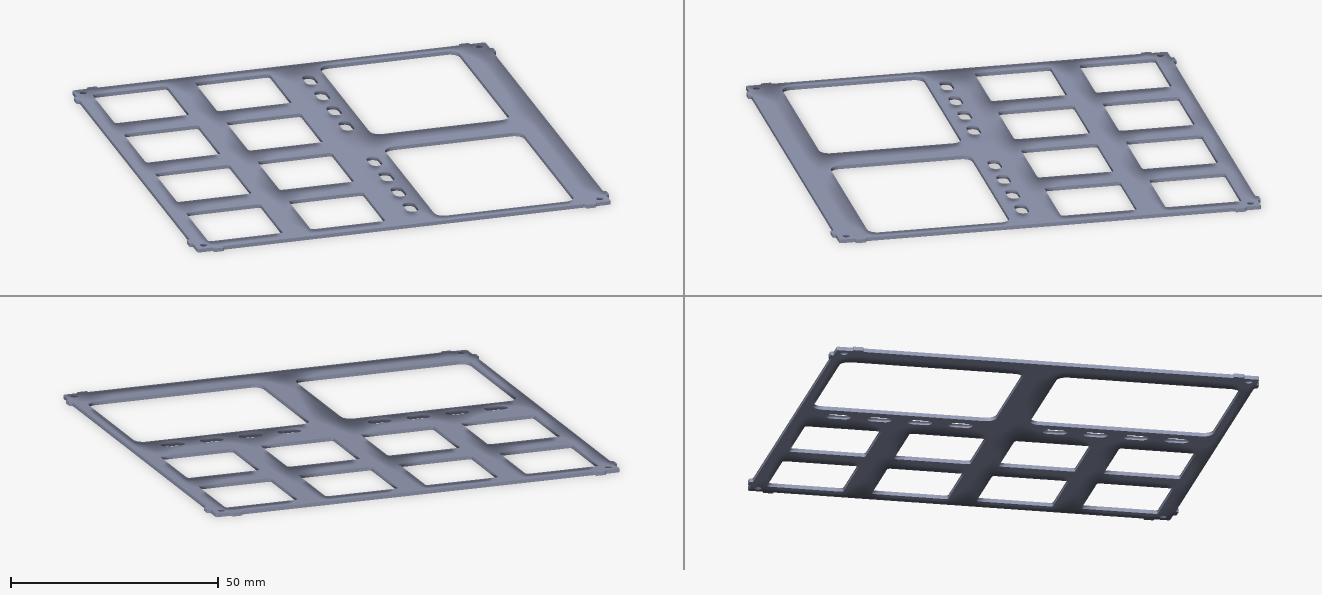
import cadquery as cq

SIDES = (-1, 1)

edge_reach = 0.02

overall_size = 105.6
thickness = 0.91
tab_projection = 0.8
plate_size = overall_size - 2 * tab_projection
plate_corner_radius = 0.4

tab_width = 2.5
tab_offset = 46.85
tab_tip_radius = 0.25
tab_root_radius = 0.4

hole_diameter = 1.75
hole_offset = 49.85

window_width = 45.0
window_height = 35.0
window_corner_radius = 2.5
window_x = 26.7
window_y = 26.55

slot_length = 5.9
slot_width = 3.0
slot_pitch = 10.0
slots_per_row = 4
slot_row_x = 26.6
slot_y = 4.75

opening_size = 18.8
opening_corner_radius = 0.7
opening_pitch = 25.8
opening_columns = 4
opening_rows = 2


def evenly_spaced(count, pitch):
    """Positions of `count` items at `pitch`, centred on zero."""
    return [(i - (count - 1) / 2) * pitch for i in range(count)]


def rounded_cutter(width, height, radius, points):
    """Rounded rectangular prisms through the sheet, centred on the given points."""
    return (
        cq.Workplane("XY")
        .pushPoints(points)
        .rect(width, height)
        .extrude(thickness)
        .edges("|Z")
        .fillet(radius)
    )


def fillet_upright_edges(body, points, radius):
    """Round the upright edges of `body` that stand at the given (x, y) points."""
    for x, y in points:
        body = body.edges(cq.selectors.BoxSelector(
            (x - edge_reach, y - edge_reach, -edge_reach),
            (x + edge_reach, y + edge_reach, thickness + edge_reach),
        )).fillet(radius)
    return body


def tab_flank_points(distance):
    """Points where the tab flanks lie at `distance` from the centre lines, on all four sides."""
    flanks = [
        tab_side * tab_offset + flank_side * tab_width / 2
        for tab_side in SIDES
        for flank_side in SIDES
    ]
    points = []
    for flank in flanks:
        for side in SIDES:
            points.append((flank, side * distance))
            points.append((side * distance, flank))
    return points


def make_sheet():
    """Square sheet with its edge tabs, made from strips that span the whole part."""
    sheet = cq.Workplane("XY").rect(plate_size, plate_size).extrude(thickness)
    for side in SIDES:
        offset = side * tab_offset
        along_x = cq.Workplane("XY").center(0, offset).rect(overall_size, tab_width).extrude(thickness)
        along_y = cq.Workplane("XY").center(offset, 0).rect(tab_width, overall_size).extrude(thickness)
        sheet = sheet.union(along_x).union(along_y)

    half_plate = plate_size / 2
    plate_corners = [(x_side * half_plate, y_side * half_plate) for x_side in SIDES for y_side in SIDES]
    sheet = fillet_upright_edges(sheet, plate_corners, plate_corner_radius)
    sheet = fillet_upright_edges(sheet, tab_flank_points(overall_size / 2), tab_tip_radius)
    sheet = fillet_upright_edges(sheet, tab_flank_points(half_plate), tab_root_radius)
    return sheet


def corner_holes():
    spacing = 2 * hole_offset
    return (
        cq.Workplane("XY")
        .rarray(spacing, spacing, 2, 2)
        .circle(hole_diameter / 2)
        .extrude(thickness)
    )


def large_windows():
    points = [(side * window_x, window_y) for side in SIDES]
    return rounded_cutter(window_width, window_height, window_corner_radius, points)


def slot_rows():
    points = [
        (side * slot_row_x + x, slot_y)
        for side in SIDES
        for x in evenly_spaced(slots_per_row, slot_pitch)
    ]
    return cq.Workplane("XY").pushPoints(points).slot2D(slot_length, slot_width).extrude(thickness)


def square_openings():
    points = [
        (x, -(row + 0.5) * opening_pitch)
        for row in range(opening_rows)
        for x in evenly_spaced(opening_columns, opening_pitch)
    ]
    return rounded_cutter(opening_size, opening_size, opening_corner_radius, points)


result = (
    make_sheet()
    .cut(corner_holes())
    .cut(large_windows())
    .cut(slot_rows())
    .cut(square_openings())
)